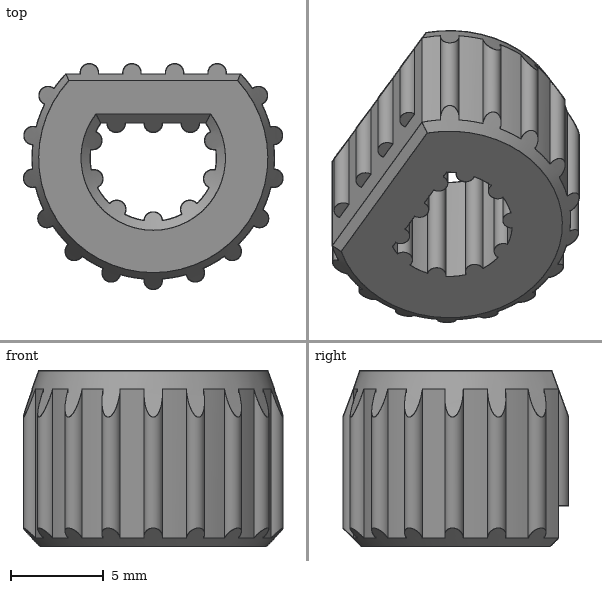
import cadquery as cq
import math

height = 9.5
body_radius = 6.55
body_flat = 4.55
top_taper_height = 1.0
top_taper_angle = 20.0
bottom_chamfer = 0.45

bore_radius = 3.4
bore_flat = 1.88
countersink_width = 0.5
countersink_depth = 0.5
bevel_overrun = 0.25

ridge_radius = 0.5
outer_ridge_lift = 0.05
outer_pitch = 2.3
outer_flat_count = 4
outer_round_count = 13
outer_flat_ridge_start = 2.2
inner_flat_pitch = 2.0
inner_round_pitch = 2.1
inner_flat_count = 3
inner_round_count = 7

envelope_margin = 1.0


def d_solid(radius, flat, section):
    """D-shaped solid whose outline is offset outward by each (offset, z) of the section."""
    bottom_z = section[0][1]
    top_z = section[-1][1]
    round_profile = [(0, bottom_z)] + [(radius + offset, z) for offset, z in section] + [(0, top_z)]
    round_part = cq.Workplane("XZ").polyline(round_profile).close().revolve(360, (0, 0), (0, 1))

    reach = radius + max(offset for offset, _ in section)
    side_profile = [(-reach, bottom_z)] + [(flat + offset, z) for offset, z in section] + [(-reach, top_z)]
    flat_part = cq.Workplane("YZ").polyline(side_profile).close().extrude(reach, both=True)
    return round_part.intersect(flat_part)


def flat_centers(count, pitch, y):
    """Evenly spaced centres along a flat, symmetric about X = 0."""
    return [((i - (count - 1) / 2) * pitch, y) for i in range(count)]


def round_centers(count, pitch, surface_radius, center_radius):
    """Evenly spaced centres around the axis, symmetric about the -Y direction."""
    step = pitch / surface_radius
    angles = [(i - (count - 1) / 2) * step for i in range(count)]
    return [(center_radius * math.sin(a), -center_radius * math.cos(a)) for a in angles]


def ridges(centers, start_z=0.0):
    """Round bars from start_z to the top of the part."""
    bars = cq.Workplane("XY").workplane(offset=start_z).pushPoints(centers)
    return bars.circle(ridge_radius).extrude(height - start_z)


def outer_envelope():
    """Knob shape that trims body and outer ridges: bottom chamfer and top taper."""
    slope = math.tan(math.radians(top_taper_angle))
    section = [
        (-bottom_chamfer, 0),
        (envelope_margin, bottom_chamfer + envelope_margin),
        (envelope_margin, height - top_taper_height - envelope_margin / slope),
        (-top_taper_height * slope, height),
    ]
    return d_solid(body_radius, body_flat, section)


def ridged_body():
    """Solid knob with its outer ridges."""
    round_ridges = round_centers(
        outer_round_count, outer_pitch, body_radius, body_radius + outer_ridge_lift
    )
    flat_ridges = flat_centers(outer_flat_count, outer_pitch, body_flat + outer_ridge_lift)
    body = d_solid(body_radius, body_flat, [(0, 0), (0, height)])
    body = body.union(ridges(round_ridges)).union(ridges(flat_ridges, outer_flat_ridge_start))
    return body.intersect(outer_envelope())


def ridged_bore():
    """Cutter for the D-shaped through bore, its inner ridges and the countersink on top."""
    bore = d_solid(bore_radius, bore_flat, [(0, 0), (0, height)])
    bore = bore.cut(ridges(round_centers(inner_round_count, inner_round_pitch, bore_radius, bore_radius)))
    bore = bore.cut(ridges(flat_centers(inner_flat_count, inner_flat_pitch, bore_flat)))

    inward = ridge_radius + bevel_overrun
    slope_depth = inward * countersink_depth / countersink_width
    section = [
        (-inward, height - countersink_depth - slope_depth),
        (countersink_width, height),
    ]
    return bore.union(d_solid(bore_radius, bore_flat, section))


result = ridged_body().cut(ridged_bore())